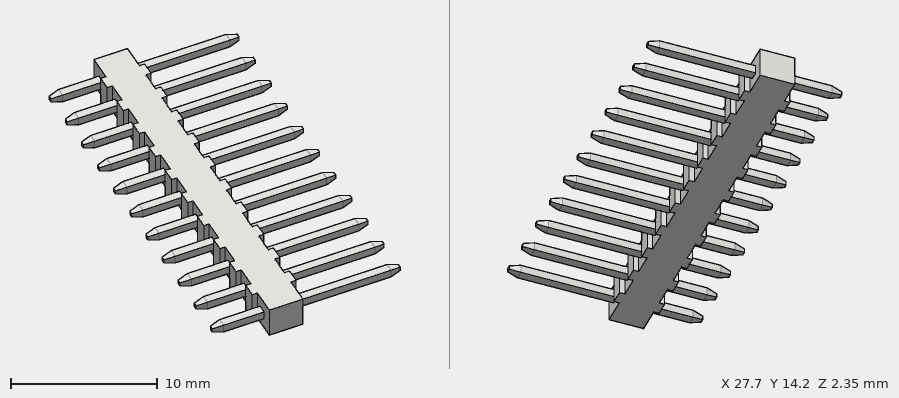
import cadquery as cq

pin_count = 11
bar_length = 27.7
bar_depth = 2.55
bar_height = 2.35

rib_width = 1.02
rib_projection = 0.4

end_margin = 1.14
pin_width = 0.65
tip_width = 0.3
taper_length = 0.78
pin_length = 14.23
front_reach = 3.85

pin_pitch = (bar_length - 2 * end_margin) / (pin_count - 1)
first_pin_x = -bar_length / 2 + end_margin
pin_front_y = -bar_depth / 2 - front_reach
pin_back_y = pin_front_y + pin_length


def make_housing():
    """Bar with a full-height rib block midway between each pair of pins."""
    housing = cq.Workplane("XY").box(bar_length, bar_depth, bar_height)
    rib = cq.Workplane("XY").box(rib_width, bar_depth + 2 * rib_projection, bar_height)
    for gap in range(pin_count - 1):
        rib_x = first_pin_x + (gap + 0.5) * pin_pitch
        housing = housing.union(rib.translate((rib_x, 0, 0)))
    return housing


def make_tip(end_y, direction):
    """Pyramid frustum ending at end_y; direction is +1 or -1 along Y."""
    base_y = end_y - direction * taper_length
    plane = cq.Plane(origin=(0, base_y, 0), xDir=(1, 0, 0), normal=(0, direction, 0))
    return (
        cq.Workplane(plane)
        .rect(pin_width, pin_width)
        .workplane(offset=taper_length)
        .rect(tip_width, tip_width)
        .loft(ruled=True)
    )


def make_pin():
    """Straight square pin on the Y axis with a taper at each end."""
    shank_length = pin_length - 2 * taper_length
    shank_y = (pin_front_y + pin_back_y) / 2
    shank = cq.Workplane("XY").box(pin_width, shank_length, pin_width).translate((0, shank_y, 0))
    return shank.union(make_tip(pin_front_y, -1)).union(make_tip(pin_back_y, 1))


result = make_housing()
pin = make_pin()
for index in range(pin_count):
    result = result.union(pin.translate((first_pin_x + index * pin_pitch, 0, 0)))